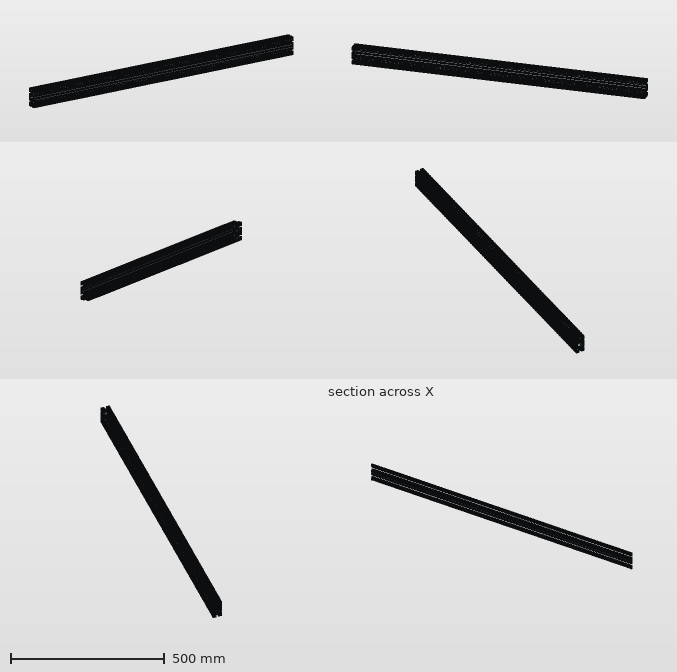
import cadquery as cq

length = 1000.0
pitch = 30.0
height = 2 * pitch
corner_radius = 2.0

slot_opening = 8.2
slot_depth = 9.0
slot_floor_width = 7.0
lip = 2.7
pocket_width = 16.0

chamber_height = 15.0
chamber_top_width = 12.0
chamber_wall_height = 4.0
side_wall = 2.5

bore_diameter = 7.0
corner_wall = 1.5
corner_hollow_size = 3.5

groove_width = 2.0
groove_depth = 1.0

half_pitch = pitch / 2
half_height = height / 2


def extrude_through(sketch):
    """Extrude an XZ sketch over the full length, centred on Y."""
    return sketch.extrude(length / 2, both=True)


def extrude_outline(points):
    """Close an XZ outline and extrude it over the full length."""
    return extrude_through(cq.Workplane("XZ").polyline(points).close())


def mirrored(points):
    """Complete a right-hand half outline with its mirror image about X = 0."""
    return points + [(-x, z) for x, z in reversed(points)]


def t_slot():
    """Cutter for a T-slot that opens upwards in a cell centred on the origin."""
    floor_z = half_pitch - slot_depth
    lip_z = half_pitch - lip
    floor_half = slot_floor_width / 2
    pocket_half = pocket_width / 2
    flank_top_z = floor_z + pocket_half - floor_half
    return extrude_outline(mirrored([
        (slot_opening / 2, half_pitch),
        (slot_opening / 2, lip_z),
        (pocket_half, lip_z),
        (pocket_half, flank_top_z),
        (floor_half, floor_z),
    ]))


def chamber():
    """Cutter for the six-sided hollow, with short upright sides and sloping flanks."""
    top_z = chamber_height / 2
    top_half = chamber_top_width / 2
    wall_x = half_pitch - side_wall
    wall_half = chamber_wall_height / 2
    return extrude_outline(mirrored([
        (top_half, top_z),
        (wall_x, wall_half),
        (wall_x, -wall_half),
        (top_half, -top_z),
    ]))


def side_groove(side):
    """Cutter for the V-groove on the +X (side = 1) or -X (side = -1) face."""
    return extrude_outline([
        (side * half_pitch, groove_width / 2),
        (side * half_pitch, -groove_width / 2),
        (side * (half_pitch - groove_depth), 0),
    ])


def cell_bores():
    """Cutter for the round bore at the centre of each cell."""
    centres = [(0, half_pitch), (0, -half_pitch)]
    return extrude_through(cq.Workplane("XZ").pushPoints(centres).circle(bore_diameter / 2))


def corner_hollows():
    """Cutter for the square hollows inside the four outer corners."""
    inset = corner_wall + corner_hollow_size / 2
    x = half_pitch - inset
    z = half_height - inset
    centres = [(x, z), (-x, z), (x, -z), (-x, -z)]
    return extrude_through(
        cq.Workplane("XZ").pushPoints(centres).rect(corner_hollow_size, corner_hollow_size)
    )


result = cq.Workplane("XY").box(pitch, length, height).edges("|Y").fillet(corner_radius)
result = result.cut(chamber()).cut(cell_bores()).cut(corner_hollows())

for side in (1, -1):
    result = result.cut(side_groove(side))
    outward_angle = 0 if side > 0 else 180
    for angle in (outward_angle, 90, -90):
        slot = t_slot().rotate((0, 0, 0), (0, 1, 0), angle)
        result = result.cut(slot.translate((0, 0, side * half_pitch)))